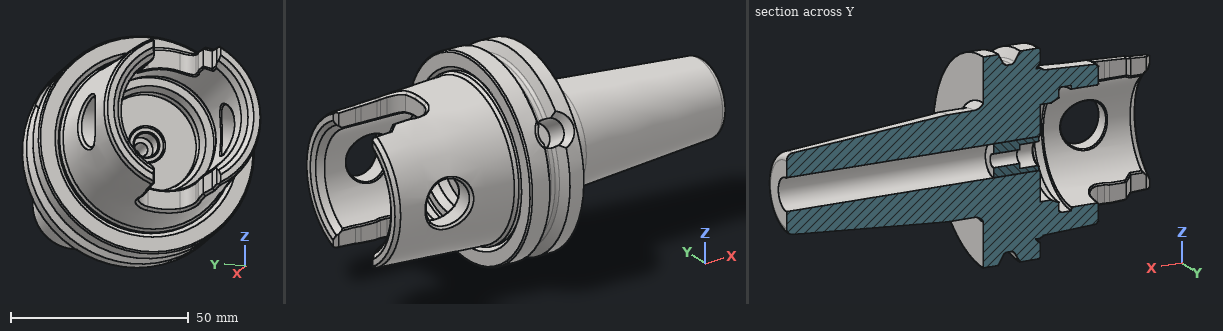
import cadquery as cq
import math

total_length = 120.0
flange_start = 40.0
flange_width = 18.0
flange_end = flange_start + flange_width
flange_radius = 31.49
flange_chamfer = 0.5

taper_start_radius = 22.85
taper_end_radius = 24.7
taper_end = 38.9
lead_in_length = 1.5
lead_in_depth = 0.6
seat_lip_radius = 25.4
seat_groove_radius = 26.7
seat_groove_depth = seat_groove_radius - seat_lip_radius

v_groove_center = 49.8
v_groove_rim_width = 6.8
v_groove_floor_radius = 28.0
v_groove_half_angle = math.radians(30)
v_groove_fillet = 1.2

neck_radius = 16.01
neck_end = 69.1
neck_fillet_radius = 3.2
neck_fillet_length = 2.9
tip_radius = 12.05
tip_fillet = 2.2

mouth_radius = 20.4
mouth_step_radius = 19.0
mouth_step_depth = 0.8
cavity_radius = 17.5
cavity_start = 2.9
cavity_end = 30.2
relief_radius = 18.6
relief_chamfer = 0.6
relief_end = 34.1
pocket_mouth_radius = 15.6
pocket_radius = 14.4
pocket_chamfer_length = 2.5
pocket_floor = flange_start

bore_radius = 4.98
bore_chamfer = 0.42
screw_length = 14.4
screw_hole_radius = 1.98
screw_socket_radius = 3.5
screw_socket_depth = 6.0
screw_socket_chamfer = 0.4

slot_half_width = 8.0
slot_end = 21.6
slot_corner_radius = 3.7
slot_mouth_flare = 0.7
slot_mouth_flare_length = 1.5
slot_entry_half_width = 8.22
slot_entry_start = 7.1
slot_entry_end = 8.8
slot_step_half_width = 10.1
slot_step_start = 6.4
slot_step_end = 8.9
slot_relief_half_width = 8.34
slot_relief_start = 14.2
slot_relief_full = 15.6

cross_hole_center = 17.5
cross_hole_radius = 7.14

outer_edge_chamfer = 0.8
inner_edge_chamfer = 0.4
wall_middle_radius = (cavity_radius + taper_start_radius) / 2
tolerance = 0.1

flange_hole_center = 50.9
flange_hole_radius = 4.2
flange_hole_floor = 21.0
flange_hole_elevation = math.radians(30)
countersink_radius = 6.4
cutter_reach = 2 * flange_radius


def revolve_about_x(profile):
    return profile.close().revolve(360, (0, 0, 0), (1, 0, 0))


def make_outer_body():
    """Taper, flange and shank as one turned solid, without the V-groove."""
    fillet_angle = math.asin(neck_fillet_length / neck_fillet_radius)
    fillet_center_x = flange_end + neck_fillet_length
    fillet_center_radius = neck_radius + neck_fillet_radius

    def fillet_point(angle):
        return (
            fillet_center_x - neck_fillet_radius * math.sin(angle),
            fillet_center_radius - neck_fillet_radius * math.cos(angle),
        )

    profile = (
        cq.Workplane("XZ")
        .moveTo(0, 0)
        .lineTo(0, taper_start_radius - lead_in_depth)
        .lineTo(lead_in_length, taper_start_radius)
        .lineTo(taper_end, taper_end_radius)
        .lineTo(flange_start, seat_lip_radius)
        .lineTo(flange_start + seat_groove_depth, seat_lip_radius)
        .lineTo(flange_start, seat_groove_radius)
        .lineTo(flange_start, flange_radius - flange_chamfer)
        .lineTo(flange_start + flange_chamfer, flange_radius)
        .lineTo(flange_end, flange_radius)
        .lineTo(*fillet_point(fillet_angle))
        .threePointArc(fillet_point(fillet_angle / 2), fillet_point(0))
        .lineTo(neck_end, neck_radius)
        .lineTo(total_length, tip_radius)
        .lineTo(total_length, 0)
    )
    return revolve_about_x(profile).faces(">X").edges().fillet(tip_fillet)


def make_v_groove():
    rim_half_width = v_groove_rim_width / 2
    groove_depth = flange_radius - v_groove_floor_radius
    floor_half_width = rim_half_width - groove_depth * math.tan(v_groove_half_angle)
    profile = (
        cq.Workplane("XZ")
        .moveTo(v_groove_center - rim_half_width, flange_radius)
        .lineTo(v_groove_center - floor_half_width, v_groove_floor_radius)
        .lineTo(v_groove_center + floor_half_width, v_groove_floor_radius)
        .lineTo(v_groove_center + rim_half_width, flange_radius)
    )
    floor_edges = cq.selectors.RadiusNthSelector(0)
    return revolve_about_x(profile).edges(floor_edges).fillet(v_groove_fillet)


def make_cavity():
    """Stepped cavity of the taper, continued by the bore through the shank."""
    profile = (
        cq.Workplane("XZ")
        .moveTo(0, 0)
        .lineTo(0, mouth_radius)
        .lineTo(mouth_step_depth, mouth_step_radius)
        .lineTo(cavity_start, cavity_radius)
        .lineTo(cavity_end, cavity_radius)
        .lineTo(cavity_end, relief_radius)
        .lineTo(relief_end - relief_chamfer, relief_radius)
        .lineTo(relief_end, relief_radius - relief_chamfer)
        .lineTo(relief_end, pocket_mouth_radius)
        .lineTo(relief_end + pocket_chamfer_length, pocket_radius)
        .lineTo(pocket_floor, pocket_radius)
        .lineTo(pocket_floor, bore_radius + bore_chamfer)
        .lineTo(pocket_floor + bore_chamfer, bore_radius)
        .lineTo(total_length, bore_radius)
        .lineTo(total_length, 0)
    )
    return revolve_about_x(profile)


def make_slot_cutter():
    """Both drive slots in one cut; the -Y wall steps outward near the open end."""
    slot = (
        cq.Workplane("XY")
        .moveTo(0, slot_entry_half_width + slot_mouth_flare)
        .lineTo(slot_mouth_flare_length, slot_entry_half_width)
        .lineTo(slot_entry_start, slot_entry_half_width)
        .lineTo(slot_entry_end, slot_half_width)
        .lineTo(slot_relief_start, slot_half_width)
        .lineTo(slot_relief_full, slot_relief_half_width)
        .lineTo(slot_end, slot_relief_half_width)
        .lineTo(slot_end, -slot_relief_half_width)
        .lineTo(slot_relief_full, -slot_relief_half_width)
        .lineTo(slot_relief_start, -slot_half_width)
        .lineTo(slot_step_end, -slot_half_width)
        .lineTo(slot_step_start, -slot_step_half_width)
        .lineTo(slot_mouth_flare_length, -slot_step_half_width)
        .lineTo(0, -slot_step_half_width - slot_mouth_flare)
        .close()
        .extrude(cutter_reach, both=True)
    )
    return slot.edges("|Z and >X").fillet(slot_corner_radius)


def make_cross_hole_cutter():
    return (
        cq.Workplane("XZ")
        .center(cross_hole_center, 0)
        .circle(cross_hole_radius)
        .extrude(cutter_reach, both=True)
    )


def make_flange_hole(side, countersunk):
    """Blind hole toward the axis, on the +Y (side = 1) or -Y (side = -1) side."""
    outward = cq.Vector(0, side * math.cos(flange_hole_elevation), math.sin(flange_hole_elevation))
    axis_point = cq.Vector(flange_hole_center, 0, 0)
    floor_point = axis_point + outward * flange_hole_floor
    hole = cq.Solid.makeCylinder(flange_hole_radius, flange_radius, floor_point, outward)
    if countersunk:
        depth = countersink_radius - flange_hole_radius
        cone_start = axis_point + outward * (flange_radius - depth)
        cone_end_radius = countersink_radius + depth
        cone = cq.Solid.makeCone(flange_hole_radius, cone_end_radius, 2 * depth, cone_start, outward)
        hole = hole.fuse(cone)
    return cq.Workplane(hole)


def is_on_inside(point):
    return math.hypot(point.y, point.z) < wall_middle_radius


def slot_rim(body, inner):
    """Edges along which the slots break through one side of the taper wall."""
    rim_start = cavity_start if inner else lead_in_length

    def is_rim(edge):
        box = edge.BoundingBox()
        middle = edge.positionAt(0.5)
        return (
            abs(middle.y) < slot_step_half_width + slot_mouth_flare
            and box.xlen + box.ylen > tolerance
            and box.xmin > rim_start - tolerance
            and box.xmax < slot_end + tolerance
            and edge.geomType() != "CIRCLE"
            and is_on_inside(middle) == inner
        )

    return body.newObject([edge for edge in body.edges().vals() if is_rim(edge)])


def cross_hole_rim(body, inner):
    """Edges along which the cross hole breaks through one side of the taper wall."""

    def is_rim(edge):
        box = edge.BoundingBox()
        start = edge.positionAt(0)
        return (
            box.zlen > cross_hole_radius - tolerance
            and box.xmin > cross_hole_center - cross_hole_radius - tolerance
            and box.xmax < cross_hole_center + cross_hole_radius + tolerance
            and abs(start.y) > slot_step_half_width + slot_mouth_flare
            and is_on_inside(start) == inner
        )

    return body.newObject([edge for edge in body.edges().vals() if is_rim(edge)])


def make_housing():
    body = make_outer_body().cut(make_cavity())
    body = body.cut(make_slot_cutter())
    body = slot_rim(body, inner=False).chamfer(outer_edge_chamfer)
    body = slot_rim(body, inner=True).chamfer(inner_edge_chamfer)
    body = body.cut(make_cross_hole_cutter())
    body = cross_hole_rim(body, inner=False).chamfer(outer_edge_chamfer)
    body = cross_hole_rim(body, inner=True).chamfer(inner_edge_chamfer)
    body = body.cut(make_v_groove())
    body = body.cut(make_flange_hole(-1, countersunk=True))
    return body.cut(make_flange_hole(1, countersunk=False))


def make_screw():
    """Set screw with a through hole and a round socket facing the cavity."""
    start = pocket_floor + bore_chamfer
    end = start + screw_length
    socket_floor = start + screw_socket_depth
    profile = (
        cq.Workplane("XZ")
        .moveTo(start, screw_socket_radius + screw_socket_chamfer)
        .lineTo(start, bore_radius)
        .lineTo(end, bore_radius)
        .lineTo(end, screw_hole_radius)
        .lineTo(socket_floor, screw_hole_radius)
        .lineTo(socket_floor, screw_socket_radius)
        .lineTo(start + screw_socket_chamfer, screw_socket_radius)
    )
    return revolve_about_x(profile)


housing = make_housing()
screw = make_screw()
result = cq.Compound.makeCompound([housing.val(), screw.val()])